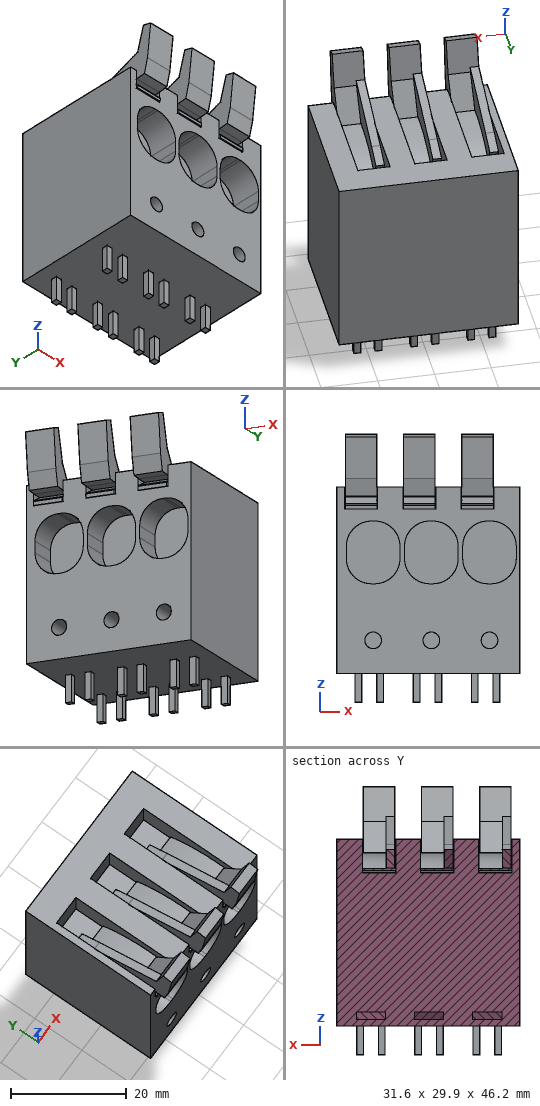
import cadquery as cq
import math


HOUSING_WIDTH = 31.6
HOUSING_DEPTH = 26.5
HOUSING_HEIGHT = 32.25
POLE_COUNT = 3
POLE_PITCH = 10.05

SLOT_CENTER_X = 4.2
SLOT_WIDTH = 5.7
SLOT_LENGTH = 20.9

PLATE_RADIUS = 18.5
PLATE_THICKNESS = 0.75
PLATE_PEAK_Y = 5.3
PLATE_PEAK_Z = 29.9
PLATE_BACK_Y = 15.15

LIP_BOTTOM_Y = -0.25
LIP_TIP = (-0.3, 29.05)
LIP_STEP_BOTTOM = (0.15, 29.22)
LIP_STEP_TOP = (0.15, 29.35)
LIP_CREST = (2.3, 30.45)

HOLE_CENTER_X = 6.3
HOLE_DEPTH = 6.1
WIRE_WIDTH = 9.25
WIRE_HEIGHT = 10.8
WIRE_CORNER_RADIUS = 4.35
WIRE_CENTER_Z = 20.9
TEST_DIAMETER = 2.85
TEST_CENTER_Z = 5.75

LEVER_WIDTH = 5.45
ARM_THICKNESS = 1.53
HANDLE_BACK_Y = 3.8
HANDLE_TOP_Z = 41.3
HANDLE_TIP = (-3.4, 40.8)
HANDLE_TOP_BACK = (-1.6, HANDLE_TOP_Z)
HANDLE_BEND = (-2.65, 33.65)
HANDLE_LOWER_FRONT = (-1.9, 30.6)
HANDLE_UNDERSIDE_FRONT = (0, LIP_CREST[1])
HANDLE_CROOK = (-0.2, 36.15)
RELIEF_TOP_Y = 0.05
ARM_KINK = (13.0, 31.3)
ARM_END = (16.7, 29.75)

PIN_SIZE = 1.2
PIN_LENGTH = 4.95
PIN_FIRST_X = 3.75
PIN_FIRST_Y = 9.53
PIN_SPACING_X = 3.75
PIN_SPACING_Y = 12.5
BASE_THICKNESS = PIN_SIZE
BASE_BOTTOM_Z = PIN_SIZE

PLATE_CENTER_Z = PLATE_PEAK_Z - PLATE_RADIUS


def plate_angle(y, depth=0.0):
    """Angle from vertical at which the plate's curve, depth below its top face, reaches y."""
    return math.asin((y - PLATE_PEAK_Y) / (PLATE_RADIUS - depth))


def plate_point(angle, depth=0.0):
    """(y, z) on the plate's curve; angle from vertical, depth below its top face."""
    radius = PLATE_RADIUS - depth
    return (
        PLATE_PEAK_Y + radius * math.sin(angle),
        PLATE_CENTER_Z + radius * math.cos(angle),
    )


BACK_ANGLE = plate_angle(PLATE_BACK_Y)
TOP_FRONT_ANGLE = plate_angle(HANDLE_BACK_Y)
BED_FRONT_ANGLE = plate_angle(0, PLATE_THICKNESS)

TOP_FRONT = plate_point(TOP_FRONT_ANGLE)
TOP_MIDDLE = plate_point((TOP_FRONT_ANGLE + BACK_ANGLE) / 2)
TOP_BACK = plate_point(BACK_ANGLE)
BED_FRONT = plate_point(BED_FRONT_ANGLE, PLATE_THICKNESS)
BED_MIDDLE = plate_point((BED_FRONT_ANGLE + BACK_ANGLE) / 2, PLATE_THICKNESS)
BED_BACK = plate_point(BACK_ANGLE, PLATE_THICKNESS)


def side_profile(center_x, width):
    """Workplane for (y, z) outlines whose extrusion is centred on center_x."""
    return cq.Workplane("YZ", origin=(center_x - width / 2, 0, 0))


def make_plate(pole_x):
    """Curved plate across the slot, with the lip as its front end."""
    center_x = pole_x + SLOT_CENTER_X
    outline = (
        side_profile(center_x, SLOT_WIDTH)
        .moveTo(LIP_BOTTOM_Y, BED_FRONT[1])
        .lineTo(*LIP_TIP)
        .lineTo(*LIP_STEP_BOTTOM)
        .lineTo(*LIP_STEP_TOP)
        .lineTo(*LIP_CREST)
        .lineTo(*TOP_FRONT)
        .threePointArc(TOP_MIDDLE, TOP_BACK)
        .lineTo(*BED_BACK)
        .threePointArc(BED_MIDDLE, BED_FRONT)
        .close()
        .extrude(SLOT_WIDTH)
    )
    lip_side = (SLOT_WIDTH - LEVER_WIDTH) / 2
    side_offset = (LEVER_WIDTH + lip_side) / 2
    lip_trim = (
        cq.Workplane("XY")
        .pushPoints([(center_x - side_offset, 0), (center_x + side_offset, 0)])
        .rect(lip_side, 2 * HANDLE_BACK_Y)
        .extrude(HOUSING_HEIGHT)
    )
    return outline.cut(lip_trim)


def make_lever(pole_x):
    center_x = pole_x + SLOT_CENTER_X
    lever = (
        side_profile(center_x, LEVER_WIDTH)
        .moveTo(*HANDLE_TIP)
        .lineTo(*HANDLE_BEND)
        .lineTo(*HANDLE_LOWER_FRONT)
        .lineTo(*HANDLE_UNDERSIDE_FRONT)
        .lineTo(*LIP_CREST)
        .lineTo(*TOP_FRONT)
        .threePointArc(TOP_MIDDLE, TOP_BACK)
        .lineTo(*ARM_END)
        .lineTo(*ARM_KINK)
        .lineTo(*HANDLE_CROOK)
        .lineTo(*HANDLE_TOP_BACK)
        .close()
        .extrude(LEVER_WIDTH)
    )
    return lever.cut(arm_relief(center_x))


def arm_relief(center_x):
    """Space to the right of the arm, sloping down behind the handle to the plate."""
    width = LEVER_WIDTH - ARM_THICKNESS
    back_face_slope = (HANDLE_CROOK[1] - HANDLE_TOP_Z) / (HANDLE_CROOK[0] - HANDLE_TOP_BACK[0])
    slope_top = (RELIEF_TOP_Y, HANDLE_CROOK[1] + back_face_slope * (RELIEF_TOP_Y - HANDLE_CROOK[0]))
    return (
        side_profile(center_x + ARM_THICKNESS / 2, width)
        .moveTo(*HANDLE_CROOK)
        .lineTo(*slope_top)
        .lineTo(*TOP_FRONT)
        .lineTo(HANDLE_BACK_Y, BED_BACK[1])
        .lineTo(SLOT_LENGTH, BED_BACK[1])
        .lineTo(SLOT_LENGTH, HANDLE_CROOK[1])
        .close()
        .extrude(width)
    )


def make_terminal(pole_x):
    first_x = pole_x + PIN_FIRST_X
    base = (
        cq.Workplane("XY")
        .box(PIN_SPACING_X + PIN_SIZE, PIN_SPACING_Y + PIN_SIZE, BASE_THICKNESS, centered=False)
        .translate((first_x - PIN_SIZE / 2, PIN_FIRST_Y - PIN_SIZE / 2, BASE_BOTTOM_Z))
    )
    pins = (
        cq.Workplane("XY", origin=(0, 0, -PIN_LENGTH))
        .pushPoints([
            (first_x + column * PIN_SPACING_X, PIN_FIRST_Y + row * PIN_SPACING_Y)
            for column in range(2)
            for row in range(2)
        ])
        .rect(PIN_SIZE, PIN_SIZE)
        .extrude(PIN_LENGTH + BASE_BOTTOM_Z)
    )
    return base.union(pins)


def slot_cutter(pole_x):
    """Lever slot whose floor carries the curved plate."""
    return (
        side_profile(pole_x + SLOT_CENTER_X, SLOT_WIDTH)
        .moveTo(0, HOUSING_HEIGHT)
        .lineTo(*BED_FRONT)
        .threePointArc(BED_MIDDLE, BED_BACK)
        .lineTo(SLOT_LENGTH, BED_BACK[1])
        .lineTo(SLOT_LENGTH, HOUSING_HEIGHT)
        .close()
        .extrude(SLOT_WIDTH)
    )


def wire_cutter(pole_x):
    return (
        cq.Workplane("XY")
        .box(WIRE_WIDTH, HOLE_DEPTH, WIRE_HEIGHT)
        .edges("|Y")
        .fillet(WIRE_CORNER_RADIUS)
        .translate((pole_x + HOLE_CENTER_X, HOLE_DEPTH / 2, WIRE_CENTER_Z))
    )


def test_cutter(pole_x):
    return (
        cq.Workplane("XZ", origin=(pole_x + HOLE_CENTER_X, 0, TEST_CENTER_Z))
        .circle(TEST_DIAMETER / 2)
        .extrude(-HOLE_DEPTH)
    )


pole_positions = [index * POLE_PITCH for index in range(POLE_COUNT)]
levers = [make_lever(pole_x) for pole_x in pole_positions]
plates = [make_plate(pole_x) for pole_x in pole_positions]
terminals = [make_terminal(pole_x) for pole_x in pole_positions]

housing = cq.Workplane("XY").box(HOUSING_WIDTH, HOUSING_DEPTH, HOUSING_HEIGHT, centered=False)
for pole_x, terminal in zip(pole_positions, terminals):
    housing = (
        housing.cut(slot_cutter(pole_x))
        .cut(wire_cutter(pole_x))
        .cut(test_cutter(pole_x))
        .cut(terminal)
    )

result = cq.Compound.makeCompound(
    [housing.val()] + [body.val() for body in levers + plates + terminals]
)